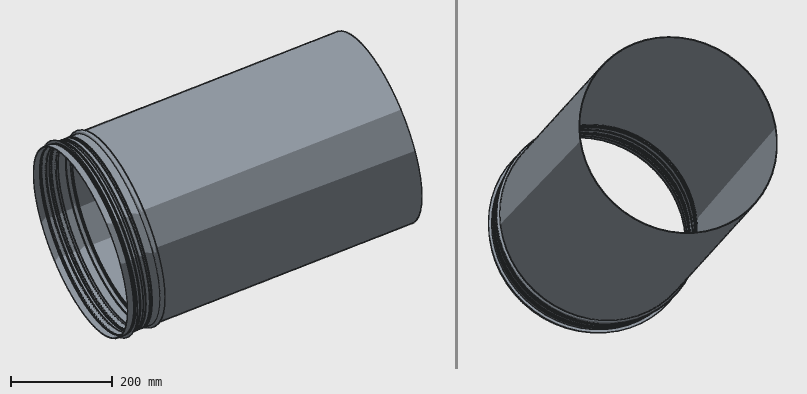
import cadquery as cq

TOTAL_LENGTH = 650.0
WALL = 1.6

PIPE_RADIUS = 405.0 / 2
PIPE_BORE_RADIUS = PIPE_RADIUS - WALL

COLLAR_RADIUS = 403.0 / 2
BEAD_RADIUS = 415.0 / 2
BEAD_FRONT_Y = 71.0
BEAD_BACK_Y = 82.0
BEAD_MIDDLE_Y = (BEAD_FRONT_Y + BEAD_BACK_Y) / 2
SPIGOT_BORE_RADIUS = 390.0 / 2
SPIGOT_RADIUS = SPIGOT_BORE_RADIUS + WALL
SPIGOT_SLOPE_LENGTH = 1.0
SPIGOT_BACK_Y = 84.0

GROOVE_RADIUS = 400.5 / 2
GROOVE_SLOPE_LENGTH = 1.0
FRONT_GROOVE = (13.5, 29.0)
REAR_GROOVE = (34.5, 54.5)

SEAL_RADIUS = 402.0 / 2
SEAL_TAPER_LENGTH = 2.0
FRONT_SEAL_BACK_Y = 28.0
FRONT_SEAL_FRONT_Y = 16.0
FRONT_SEAL_LIP_Y = 18.0
FRONT_SEAL_LIP_WIDTH = 0.5
FRONT_SEAL_LIP_RADIUS = BEAD_RADIUS
REAR_SEAL_BACK_Y = 50.0
REAR_SEAL_FRONT_Y = 39.0
REAR_SEAL_LIP_Y = 39.5
REAR_SEAL_LIP_WIDTH = 1.0
REAR_SEAL_LIP_RADIUS = COLLAR_RADIUS


def revolve(profile):
    """Turn a closed profile of (radius, Y) around the Y axis."""
    return profile.close().revolve(360, (0, 0, 0), (0, 1, 0))


def grooved_line(inset):
    """Points of the collar wall from the front end to the bead, moved inward by `inset`."""
    top = COLLAR_RADIUS - inset
    bottom = GROOVE_RADIUS - inset
    points = [(top, 0)]
    for front, back in (FRONT_GROOVE, REAR_GROOVE):
        points += [
            (top, front),
            (bottom, front + GROOVE_SLOPE_LENGTH),
            (bottom, back - GROOVE_SLOPE_LENGTH),
            (top, back),
        ]
    return points


def make_pipe():
    return revolve(
        cq.Workplane("XY").polyline(
            [
                (PIPE_BORE_RADIUS, BEAD_BACK_Y),
                (PIPE_RADIUS, BEAD_BACK_Y),
                (PIPE_RADIUS, TOTAL_LENGTH),
                (PIPE_BORE_RADIUS, TOTAL_LENGTH),
            ]
        )
    )


def make_collar():
    """Thin sheet with two grooves, a hollow bead and the spigot inside the pipe."""
    outside = (
        cq.Workplane("XY")
        .polyline(grooved_line(0))
        .lineTo(COLLAR_RADIUS, BEAD_FRONT_Y)
        .threePointArc((BEAD_RADIUS, BEAD_MIDDLE_Y), (PIPE_RADIUS, BEAD_BACK_Y))
        .lineTo(PIPE_BORE_RADIUS, BEAD_BACK_Y)
        .lineTo(SPIGOT_RADIUS, BEAD_BACK_Y + SPIGOT_SLOPE_LENGTH)
        .lineTo(SPIGOT_RADIUS, SPIGOT_BACK_Y)
    )
    inner_back_y = BEAD_BACK_Y - WALL
    whole = (
        outside.lineTo(SPIGOT_BORE_RADIUS, SPIGOT_BACK_Y)
        .lineTo(SPIGOT_BORE_RADIUS, inner_back_y + SPIGOT_SLOPE_LENGTH)
        .lineTo(PIPE_BORE_RADIUS - WALL, inner_back_y)
        .threePointArc(
            (BEAD_RADIUS - WALL, BEAD_MIDDLE_Y),
            (COLLAR_RADIUS - WALL, BEAD_FRONT_Y + WALL),
        )
        .polyline(grooved_line(WALL)[::-1], includeCurrent=True)
    )
    return revolve(whole)


def make_seal(front, back, lip_front, lip_width, lip_radius):
    """Ring lying on the groove bottom."""
    return revolve(
        cq.Workplane("XY").polyline(
            [
                (GROOVE_RADIUS, front),
                (SEAL_RADIUS, front),
                (SEAL_RADIUS, lip_front),
                (lip_radius, lip_front),
                (lip_radius, lip_front + lip_width),
                (SEAL_RADIUS, lip_front + lip_width),
                (SEAL_RADIUS, back - SEAL_TAPER_LENGTH),
                (GROOVE_RADIUS, back),
            ]
        )
    )


pipe = make_pipe()
collar = make_collar()
front_seal = make_seal(
    FRONT_SEAL_FRONT_Y,
    FRONT_SEAL_BACK_Y,
    FRONT_SEAL_LIP_Y,
    FRONT_SEAL_LIP_WIDTH,
    FRONT_SEAL_LIP_RADIUS,
)
rear_seal = make_seal(
    REAR_SEAL_FRONT_Y,
    REAR_SEAL_BACK_Y,
    REAR_SEAL_LIP_Y,
    REAR_SEAL_LIP_WIDTH,
    REAR_SEAL_LIP_RADIUS,
)

result = cq.Compound.makeCompound([pipe.val(), collar.val(), front_seal.val(), rear_seal.val()])